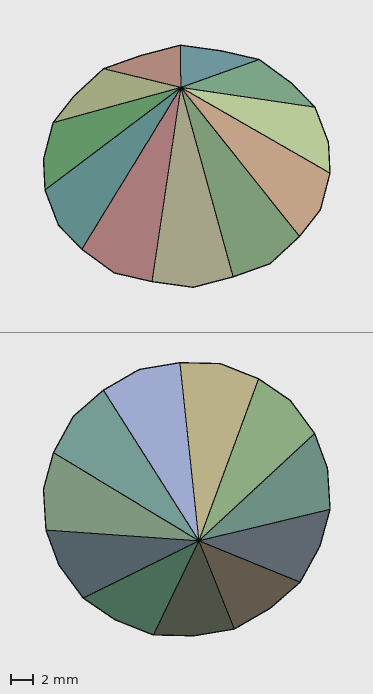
import cadquery as cq
import math

kites_per_apex = 11
apex_height = 12.5
girdle_radius = 12.75
spin_angle = 18.6
tilt_about_x = 7.2
tilt_about_y = 6.7

half_step = math.pi / kites_per_apex
girdle_corners = 2 * kites_per_apex

zigzag_height = apex_height * math.tan(half_step / 2) ** 2


def girdle_corner(index):
    """Even corners lie above the middle plane, odd corners below it."""
    angle = index * half_step
    height = zigzag_height if index % 2 == 0 else -zigzag_height
    return cq.Vector(girdle_radius * math.cos(angle), girdle_radius * math.sin(angle), height)


def kite_face(middle_index):
    """Kite centred on a girdle corner; a low corner belongs to the top apex, a high one to the bottom."""
    apex_z = -apex_height if middle_index % 2 == 0 else apex_height
    corners = [
        cq.Vector(0, 0, apex_z),
        girdle_corner(middle_index - 1),
        girdle_corner(middle_index),
        girdle_corner(middle_index + 1),
    ]
    return cq.Face.makeFromWires(cq.Wire.makePolygon(corners, close=True))


kites = [kite_face(index) for index in range(girdle_corners)]
die = cq.Workplane(cq.Solid.makeSolid(cq.Shell.makeShell(kites)))

origin = (0, 0, 0)
result = (
    die.rotate(origin, (0, 0, 1), spin_angle)
    .rotate(origin, (1, 0, 0), tilt_about_x)
    .rotate(origin, (0, 1, 0), tilt_about_y)
)